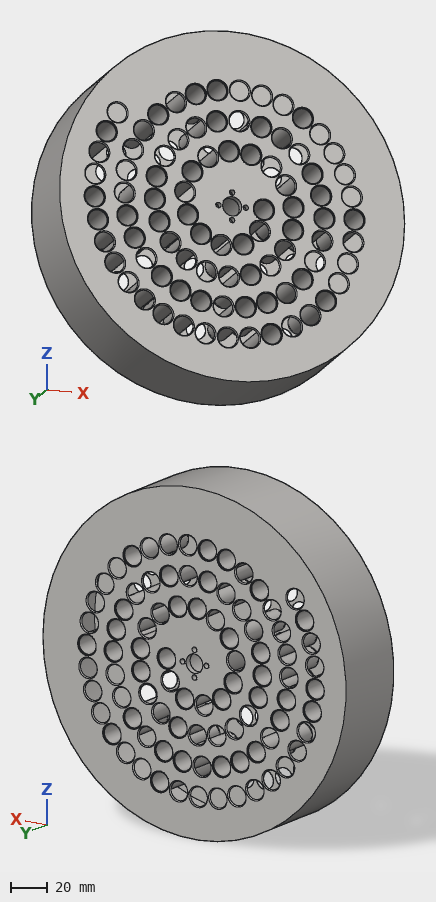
import cadquery as cq
import math

drum_diameter = 200
drum_depth = 47.0
plate_thickness = 0.8
wall_thickness = 3.0

hole_count = 88
hole_diameter = 11.0
hole_flare = 0.5
hole_step = 13.0
spiral_start_diameter = 37.0
spiral_end_diameter = 162.8
spiral_turns = 3.6

tube_wall = 0.5
tube_holes = (
    1, 3, 5, 6, 8, 10, 11, 14, 15, 18, 23, 24, 25, 29, 31, 34, 35, 36, 39, 41, 42, 44, 45,
    46, 48, 49, 54, 56, 57, 61, 66, 70, 73, 83, 84, 87,
)

hub_inner_diameter = 23.0
hub_wall = 0.8
hub_end_thickness = 4
hub_bore_diameter = 11.0
hub_screw_diameter = 3.0
hub_screw_circle_diameter = 15.8
hub_screw_count = 4

axis = [(0, 0)]


def spiral_points():
    """Hole centres at equal steps along a clockwise Archimedean spiral starting on +X."""
    start_radius = spiral_start_diameter / 2
    end_radius = spiral_end_diameter / 2
    growth = (end_radius - start_radius) / (spiral_turns * 2 * math.pi)

    def length_to(radius):
        slant = math.hypot(radius, growth)
        return (radius * slant / growth + growth * math.asinh(radius / growth)) / 2

    radius = start_radius
    start_length = length_to(start_radius)
    newton_steps = 4
    points = []
    for number in range(hole_count):
        target = start_length + number * hole_step
        for _ in range(newton_steps):
            slope = math.hypot(radius, growth) / growth
            radius += (target - length_to(radius)) / slope
        angle = -(radius - start_radius) / growth
        points.append((radius * math.cos(angle), radius * math.sin(angle)))
    return points


def rods(points, diameter, length=drum_depth):
    """Cylinders along Y, centred on Y = 0, at the given (x, z) points."""
    plane = cq.Workplane("XZ", origin=(0, length / 2, 0))
    return plane.pushPoints(points).circle(diameter / 2).extrude(length)


def hollow_drum():
    """Closed drum: two thin plates and an outer wall."""
    cavity_diameter = drum_diameter - 2 * wall_thickness
    cavity_depth = drum_depth - 2 * plate_thickness
    return rods(axis, drum_diameter).cut(rods(axis, cavity_diameter, cavity_depth))


def hub():
    """Hollow hub joining the plates, with thicker ends that take the bore and the screws."""
    cavity_depth = drum_depth - 2 * hub_end_thickness
    body = rods(axis, hub_inner_diameter + 2 * hub_wall)
    return body.cut(rods(axis, hub_inner_diameter, cavity_depth))


def hub_screw_points():
    """Screw centres evenly spaced around the axis."""
    radius = hub_screw_circle_diameter / 2
    angles = [2 * math.pi * number / hub_screw_count for number in range(hub_screw_count)]
    return [(radius * math.cos(angle), radius * math.sin(angle)) for angle in angles]


def flared_cutters(points):
    """Through-hole cutters that widen through each plate to its outer face."""
    half_depth = drum_depth / 2
    radius = hole_diameter / 2
    rim_radius = radius + hole_flare
    profile = [
        (0, -half_depth),
        (rim_radius, -half_depth),
        (radius, plate_thickness - half_depth),
        (radius, half_depth - plate_thickness),
        (rim_radius, half_depth),
        (0, half_depth),
    ]
    cutter = cq.Workplane("XY").polyline(profile).close().revolve(360, (0, 0), (0, 1)).val()
    copies = [cutter.moved(cq.Location(cq.Vector(x, 0, z))) for x, z in points]
    return cq.Workplane("XY").newObject([cq.Compound.makeCompound(copies)])


hole_points = spiral_points()
tube_points = [hole_points[number - 1] for number in tube_holes]

result = hollow_drum()
result = result.union(rods(tube_points, hole_diameter + 2 * tube_wall))
result = result.union(hub())
result = result.cut(flared_cutters(hole_points))
result = result.cut(rods(axis, hub_bore_diameter))
result = result.cut(rods(hub_screw_points(), hub_screw_diameter))